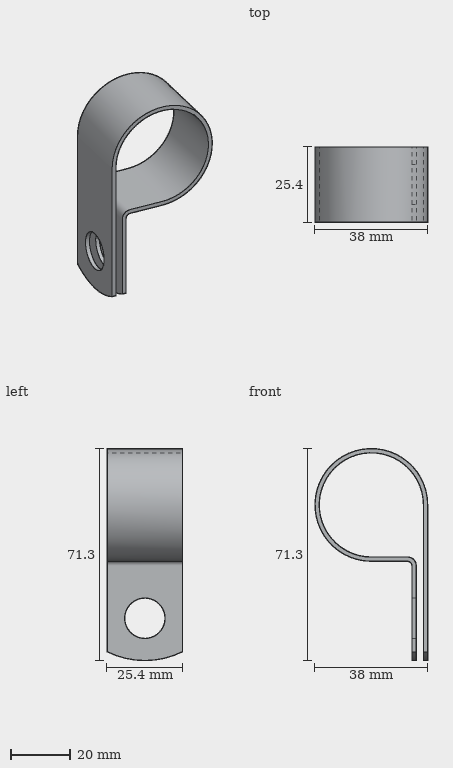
import cadquery as cq
import math

width = 25.4
height = 71.35
loop_diameter = 37.95
thickness = 1.5
leg_gap = 2.35
bend_inner_radius = 1.5
hole_diameter = 13.5
hole_height = 14.3
end_drop = 3.0

outer_radius = loop_diameter / 2
inner_radius = outer_radius - thickness
bottom = outer_radius - height
leg_outer_x = inner_radius - leg_gap
leg_inner_x = leg_outer_x - thickness
bend_outer_radius = bend_inner_radius + thickness
bend_x = leg_outer_x - bend_outer_radius
bend_z = -inner_radius - bend_outer_radius
diagonal = math.sqrt(0.5)


def make_strap():
    """Bent strip: long leg, three-quarter loop, flat floor, bend and short leg."""
    return (
        cq.Workplane("XZ")
        .moveTo(outer_radius, bottom)
        .lineTo(outer_radius, 0)
        .threePointArc((-outer_radius * diagonal, outer_radius * diagonal), (0, -outer_radius))
        .lineTo(bend_x, -outer_radius)
        .threePointArc(
            (bend_x + bend_inner_radius * diagonal, bend_z + bend_inner_radius * diagonal),
            (leg_inner_x, bend_z),
        )
        .lineTo(leg_inner_x, bottom)
        .lineTo(leg_outer_x, bottom)
        .lineTo(leg_outer_x, bend_z)
        .threePointArc(
            (bend_x + bend_outer_radius * diagonal, bend_z + bend_outer_radius * diagonal),
            (bend_x, -inner_radius),
        )
        .lineTo(0, -inner_radius)
        .threePointArc((-inner_radius * diagonal, inner_radius * diagonal), (inner_radius, 0))
        .lineTo(inner_radius, bottom)
        .close()
        .extrude(width / 2, both=True)
    )


def make_side_outline():
    """Block with an arched lower edge that trims both leg ends."""
    half_width = width / 2
    return (
        cq.Workplane("YZ")
        .moveTo(-half_width, outer_radius)
        .lineTo(-half_width, bottom + end_drop)
        .threePointArc((0, bottom), (half_width, bottom + end_drop))
        .lineTo(half_width, outer_radius)
        .close()
        .extrude(outer_radius, both=True)
    )


def make_bolt_hole():
    """Cylinder along X through both legs."""
    return (
        cq.Workplane("YZ")
        .center(0, bottom + hole_height)
        .circle(hole_diameter / 2)
        .extrude(outer_radius, both=True)
    )


result = make_strap().intersect(make_side_outline()).cut(make_bolt_hole())